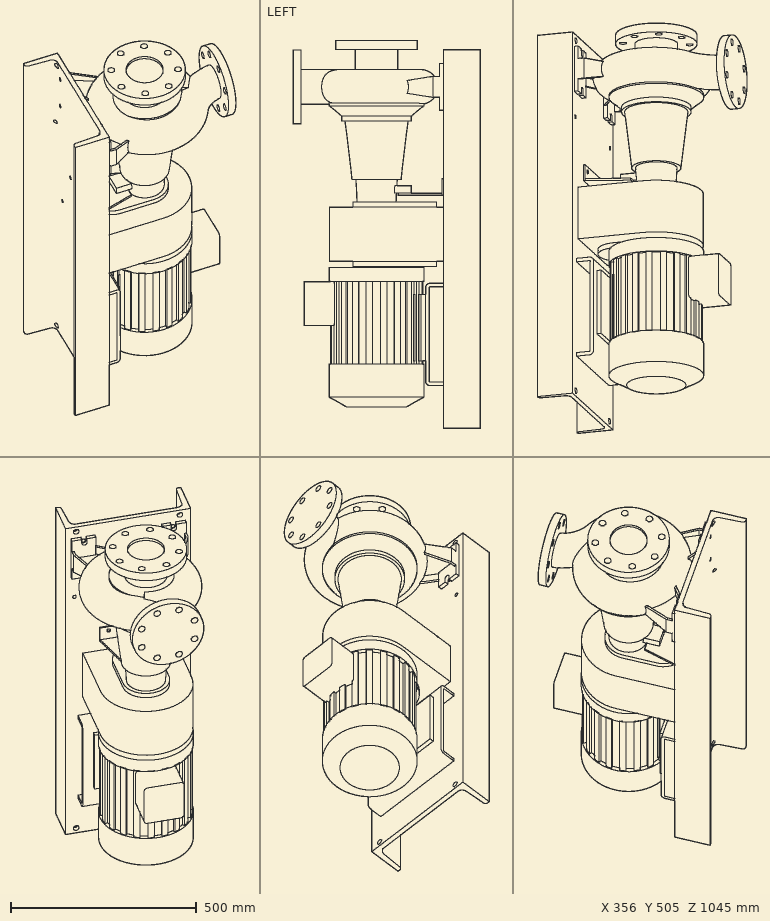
import cadquery as cq
import math


channel_width = 350.0
channel_depth = 100.0
channel_length = 1020.0
web_face_y = -180.0
web_thickness = 14.0
channel_leg_root = 18.0
channel_leg_tip = 14.0
root_radius = 16.0
tip_radius = 8.0
end_hole_x = 145.0
end_hole_inset = 16.0
end_hole_dia = 15.0
spare_hole_x = 150.0
spare_hole_z = 788.0
bolt_hole_dia = 10.0
guard_hole_x = 110.0
guard_hole_z = 522.0
guard_hole_dia = 8.0
guard_hole_depth = 14.0

volute_z = 920.0
suction_face_z = volute_z + 125.0
discharge_face_y = 225.0
suction_flange_dia = 220.0
suction_flange_thickness = 25.0
suction_bolt_circle = 180.0
suction_bore = 100.0
suction_bore_depth = 8.0
suction_neck_dia = 115.0
discharge_flange_dia = 200.0
discharge_flange_thickness = 22.0
discharge_bolt_circle = 160.0
flange_hole_dia = 18.0
flange_hole_count = 8
tube_radius = 47.0
volute_outer_radius = 166.0
volute_centre_x = 15.0
outlet_angle = 62.0
tongue_angle = 72.0
disc_radius = 100.0
disc_top_z = volute_z + 38.0

cover_top_z = 876.0
cover_rim_height = 7.0
cover_radius = 128.0
cover_bottom_z = 841.0
collar_radius = 94.0
collar_bottom_z = 828.0
bearing_top_radius = 85.5
bearing_bottom_radius = 66.5
bearing_bottom_z = 670.0
hub_top_radius = 56.0
hub_bottom_radius = 53.0

foot_hole_x = 125.0
foot_hole_pitch = 101.0
foot_half_width = 160.0
foot_inner_x = 93.0
foot_thickness = 11.0
foot_height = 127.0
foot_slot_width = 14.0
leg_shoulder_y = -152.0
leg_outer_tip = (115.0, -62.0)
leg_inner_tip = (15.0, -127.0)
leg_inner_base_x = 92.0
leg_rib_thickness = 6.0
leg_web_thickness = 10.0
leg_base_height = 57.0
leg_tip_height = 28.0

stay_half_width = 80.0
stay_front_half_width = 45.0
stay_upright_thickness = 4.0
stay_shelf_thickness = 6.0
stay_bottom_z = 628.0
stay_top_z = 673.0
stay_front_y = -58.0
stay_hole_x = 55.0
stay_hole_z = 660.0
lug_half_width = 25.0
lug_front_y = -40.0
lug_back_y = -94.0
lug_height = 20.0

guard_radius = 127.0
guard_bottom_z = 450.0
guard_top_z = 596.0
end_plate_radius = 64.0
end_plate_thickness = 14.0
end_plate_run = 98.0

motor_radius = 128.0
motor_boss_height = 2.0
motor_top_z = guard_bottom_z - end_plate_thickness - motor_boss_height
motor_boss_radius = 60.0
fins_top_z = 396.0
fins_bottom_z = 173.0
cowl_bottom_z = 84.0
motor_bottom_z = 57.0
motor_bottom_radius = 80.0
fin_radius = 125.0
fin_root_radius = 117.0
fin_count = 20
fin_gap = 22.0
box_left_x = -53.0
box_right_x = 59.0
box_back_y = 195.0
box_bottom_z = 277.0
box_top_z = 395.0
box_edge_radius = 10.0
motor_foot_half_width = 110.0
motor_foot_top_z = 361.0
motor_foot_bottom_z = 182.0
motor_foot_thickness = 12.0
motor_stem_base_half_width = 30.0
motor_stem_half_width = 62.0
motor_stem_y = -108.0

bracket_half_width = 140.0
bracket_face_y = -132.0
bracket_thickness = 10.0
bracket_bottom_z = 115.0
bracket_top_z = 391.0
bracket_bend_radius = 12.0


def cylinder(radius, bottom_z, top_z):
    return cq.Workplane("XY").workplane(offset=bottom_z).circle(radius).extrude(top_z - bottom_z)


def block(x0, x1, y0, y1, z0, z1):
    return cq.Workplane("XY").box(x1 - x0, y1 - y0, z1 - z0, centered=False).translate((x0, y0, z0))


def holes_along_y(points, dia, y_start, depth):
    """Cylinders that run from y_start toward -Y at the given (x, z) points."""
    return cq.Workplane("XZ", origin=(0, y_start, 0)).pushPoints(points).circle(dia / 2).extrude(depth)


def mirrored(x, z):
    return [(-x, z), (x, z)]


foot_hole_points = [
    point
    for z in (volute_z - foot_hole_pitch / 2, volute_z + foot_hole_pitch / 2)
    for point in mirrored(foot_hole_x, z)
]


def upright_edges(x, y):
    """Selector for the full-height channel edges at (x, y) and (-x, y)."""
    reach = 1.0
    right = cq.selectors.BoxSelector((x - reach, y - reach, 0), (x + reach, y + reach, channel_length))
    left = cq.selectors.BoxSelector((-x - reach, y - reach, 0), (-x + reach, y + reach, channel_length))
    return right + left


def make_channel():
    half = channel_width / 2
    tip_y = web_face_y - channel_depth
    inner_y = web_face_y - web_thickness
    body = (
        cq.Workplane("XY")
        .polyline([
            (-half, web_face_y), (half, web_face_y),
            (half, tip_y), (half - channel_leg_tip, tip_y),
            (half - channel_leg_root, inner_y), (channel_leg_root - half, inner_y),
            (channel_leg_tip - half, tip_y), (-half, tip_y),
        ])
        .close()
        .extrude(channel_length)
    )

    body = body.edges(upright_edges(half - channel_leg_root, inner_y)).fillet(root_radius)
    body = body.edges(upright_edges(half - channel_leg_tip, tip_y)).fillet(tip_radius)

    end_points = mirrored(end_hole_x, end_hole_inset)
    end_points += mirrored(end_hole_x, channel_length - end_hole_inset)
    bolt_points = foot_hole_points + mirrored(spare_hole_x, spare_hole_z)
    bolt_points += mirrored(stay_hole_x, stay_hole_z)
    guard_points = mirrored(guard_hole_x, guard_hole_z)
    for points, dia in (
        (end_points, end_hole_dia),
        (bolt_points, bolt_hole_dia),
        (guard_points, guard_hole_dia),
    ):
        body = body.cut(holes_along_y(points, dia, web_face_y, channel_depth))
    return body


def flange(plane, origin, dia, thickness, bolt_circle):
    """Drilled round flange that grows along the plane's normal."""
    half_step = 180 / flange_hole_count
    return (
        cq.Workplane(plane, origin=origin)
        .circle(dia / 2)
        .extrude(thickness)
        .faces("<Z" if plane == "XY" else "<Y")
        .workplane(origin=origin)
        .polarArray(bolt_circle / 2, half_step, 360, flange_hole_count)
        .hole(flange_hole_dia)
    )


def make_volute():
    """Round tube: a tight turn about the pump axis, a wider turn, then a reverse bend to the outlet."""
    turn_radius = volute_outer_radius - tube_radius
    start_radius = turn_radius - volute_centre_x
    angle = math.radians(outlet_angle)

    def on_turn(degrees):
        a = math.radians(degrees)
        return (volute_centre_x + turn_radius * math.cos(a), turn_radius * math.sin(a))

    def on_start_turn(degrees):
        a = math.radians(degrees)
        return (start_radius * math.cos(a), start_radius * math.sin(a))

    seam = on_turn(outlet_angle)
    bend_radius = seam[0] / (1 - math.cos(angle))
    bend_centre_y = seam[1] + bend_radius * math.sin(angle)
    half_angle = angle / 2
    bend_middle = (
        bend_radius * (1 - math.cos(half_angle)),
        bend_centre_y - bend_radius * math.sin(half_angle),
    )
    path = (
        cq.Workplane("XY", origin=(0, 0, volute_z))
        .moveTo(*on_start_turn(tongue_angle))
        .threePointArc(on_start_turn(90 + tongue_angle / 2), (-start_radius, 0))
        .threePointArc(on_turn(270), on_turn(0))
        .threePointArc(on_turn(outlet_angle / 2), seam)
        .threePointArc(bend_middle, (0, bend_centre_y))
    )
    tube = None
    for edge in path.ctx.pendingEdges:
        start = edge.positionAt(0)
        plane = cq.Plane(origin=start.toTuple(), xDir=(0, 0, 1), normal=edge.tangentAt(0).toTuple())
        piece = cq.Workplane(plane).circle(tube_radius).sweep(cq.Workplane(obj=cq.Wire.assembleEdges([edge])))
        tube = piece if tube is None else tube.union(piece)
    return tube


def leg_outline():
    return (
        cq.Workplane("XY", origin=(0, 0, volute_z))
        .polyline([
            (foot_half_width, web_face_y), (foot_half_width, leg_shoulder_y),
            leg_outer_tip, leg_inner_tip, (leg_inner_base_x, web_face_y),
        ])
        .close()
    )


def make_pump_leg():
    """Right-hand leg: slotted pad, and an arm with a thin web between ribs that taper toward the volute."""
    pad = block(foot_inner_x, foot_half_width, web_face_y, web_face_y + foot_thickness,
                volute_z - foot_height / 2, volute_z + foot_height / 2)
    arm = leg_outline().extrude(leg_base_height / 2, both=True)
    pocket = leg_outline().offset2D(-leg_rib_thickness).extrude(leg_base_height / 2, both=True)
    web = block(0, foot_half_width, web_face_y, 0,
                volute_z - leg_web_thickness / 2, volute_z + leg_web_thickness / 2)
    side_profile = (
        cq.Workplane("YZ", origin=(0, 0, volute_z))
        .polyline([
            (web_face_y, -leg_base_height / 2), (leg_shoulder_y, -leg_base_height / 2),
            (leg_outer_tip[1], -leg_tip_height / 2), (leg_outer_tip[1], leg_tip_height / 2),
            (leg_shoulder_y, leg_base_height / 2), (web_face_y, leg_base_height / 2),
        ])
        .close()
        .extrude(foot_half_width)
    )
    leg = arm.cut(pocket.cut(web)).intersect(side_profile).union(pad)
    slot_run = foot_height - foot_hole_pitch
    for end in (-1, 1):
        slot = (
            cq.Workplane("XZ", origin=(foot_hole_x, web_face_y + foot_thickness, volute_z))
            .center(0, end * (foot_hole_pitch + slot_run) / 2)
            .slot2D(slot_run + foot_slot_width, foot_slot_width, 90)
            .extrude(foot_thickness)
        )
        leg = leg.cut(slot)
    return leg


def make_stay():
    """Angle that ties the bearing end of the pump to the channel."""
    shelf_top = stay_bottom_z + stay_shelf_thickness
    shelf = (
        cq.Workplane("XY", origin=(0, 0, stay_bottom_z))
        .polyline([
            (-stay_half_width, web_face_y), (stay_half_width, web_face_y),
            (stay_front_half_width, stay_front_y), (-stay_front_half_width, stay_front_y),
        ])
        .close()
        .extrude(stay_shelf_thickness)
    )
    upright = block(-stay_half_width, stay_half_width, web_face_y, web_face_y + stay_upright_thickness,
                    stay_bottom_z, stay_top_z)
    lug = block(-lug_half_width, lug_half_width, lug_back_y, lug_front_y, shelf_top, shelf_top + lug_height)
    stay = shelf.union(upright).union(lug)
    return stay.cut(holes_along_y(mirrored(stay_hole_x, stay_hole_z), bolt_hole_dia,
                                  web_face_y + stay_upright_thickness, stay_upright_thickness))


def make_pump():
    hub_bottom_z = guard_top_z + end_plate_thickness
    bearing_housing = (
        cq.Workplane("XZ")
        .polyline([
            (0, hub_bottom_z), (hub_bottom_radius, hub_bottom_z), (hub_top_radius, bearing_bottom_z),
            (bearing_bottom_radius, bearing_bottom_z), (bearing_top_radius, collar_bottom_z),
            (collar_radius, collar_bottom_z), (collar_radius, cover_bottom_z),
            (cover_radius, cover_top_z - cover_rim_height),
            (cover_radius, cover_top_z), (disc_radius, cover_top_z), (disc_radius, disc_top_z),
            (0, disc_top_z),
        ])
        .close()
        .revolve(360, (0, 0, 0), (0, 1, 0))
    )
    flange_back_z = suction_face_z - suction_flange_thickness
    body = bearing_housing.union(make_volute())
    body = body.union(cylinder(suction_neck_dia / 2, volute_z, flange_back_z))
    body = body.union(flange("XY", (0, 0, flange_back_z), suction_flange_dia,
                             suction_flange_thickness, suction_bolt_circle))
    body = body.cut(cylinder(suction_bore / 2, suction_face_z - suction_bore_depth, suction_face_z))
    body = body.union(flange("XZ", (0, discharge_face_y, volute_z), discharge_flange_dia,
                             discharge_flange_thickness, discharge_bolt_circle))
    leg = make_pump_leg()
    return body.union(leg).union(leg.mirror("YZ")).union(make_stay())


def make_guard():
    body = cylinder(guard_radius, guard_bottom_z, guard_top_z)
    body = body.union(block(-guard_radius, guard_radius, web_face_y, 0, guard_bottom_z, guard_top_z))
    for z in (guard_bottom_z - end_plate_thickness, guard_top_z):
        plate = (
            cq.Workplane("XY", origin=(0, -end_plate_run / 2, z))
            .slot2D(end_plate_run + 2 * end_plate_radius, 2 * end_plate_radius, 90)
            .extrude(end_plate_thickness)
        )
        body = body.union(plate)
    return body.cut(holes_along_y(mirrored(guard_hole_x, guard_hole_z), guard_hole_dia,
                                  web_face_y + guard_hole_depth, guard_hole_depth))


def make_motor():
    body = cylinder(motor_radius, fins_top_z, motor_top_z)
    body = body.union(cylinder(motor_boss_radius, motor_top_z, guard_bottom_z - end_plate_thickness))
    body = body.union(cylinder(motor_radius, cowl_bottom_z, fins_bottom_z))
    tail = (
        cq.Workplane("XZ")
        .polyline([
            (0, motor_bottom_z), (motor_bottom_radius, motor_bottom_z),
            (motor_radius, cowl_bottom_z), (0, cowl_bottom_z),
        ])
        .close()
        .revolve(360, (0, 0, 0), (0, 1, 0))
    )
    gap_depth = fin_radius - fin_root_radius
    gaps = (
        cq.Workplane("XY", origin=(0, 0, fins_bottom_z))
        .polarArray(fin_radius, 0, 360, fin_count)
        .rect(2 * gap_depth, fin_gap)
        .extrude(fins_top_z - fins_bottom_z)
    )
    fins = cylinder(fin_radius, fins_bottom_z, fins_top_z).cut(gaps)
    terminal_box = block(box_left_x, box_right_x, 0, box_back_y, box_bottom_z, box_top_z)
    terminal_box = terminal_box.edges("|Y").fillet(box_edge_radius)
    plate_y = bracket_face_y + motor_foot_thickness
    foot_side = [
        (motor_foot_half_width, bracket_face_y), (motor_foot_half_width, plate_y),
        (motor_stem_base_half_width, plate_y), (motor_stem_half_width, motor_stem_y),
        (motor_stem_half_width, 0),
    ]
    foot = (
        cq.Workplane("XY", origin=(0, 0, motor_foot_bottom_z))
        .polyline(foot_side + [(-x, y) for x, y in reversed(foot_side)])
        .close()
        .extrude(motor_foot_top_z - motor_foot_bottom_z)
    )
    return body.union(tail).union(fins).union(terminal_box).union(foot)


def make_motor_bracket():
    outer = block(-bracket_half_width, bracket_half_width, web_face_y, bracket_face_y,
                  bracket_bottom_z, bracket_top_z)
    outer = outer.edges("|X and >Y").fillet(bracket_bend_radius)
    inner = block(-bracket_half_width, bracket_half_width, web_face_y, bracket_face_y - bracket_thickness,
                  bracket_bottom_z + bracket_thickness, bracket_top_z - bracket_thickness)
    inner = inner.edges("|X and >Y").fillet(bracket_bend_radius - bracket_thickness)
    return outer.cut(inner)


channel = make_channel()
pump = make_pump()
guard = make_guard()
motor = make_motor()
motor_bracket = make_motor_bracket()

result = cq.Compound.makeCompound([
    channel.val(),
    pump.val(),
    guard.val(),
    motor.val(),
    motor_bracket.val(),
])